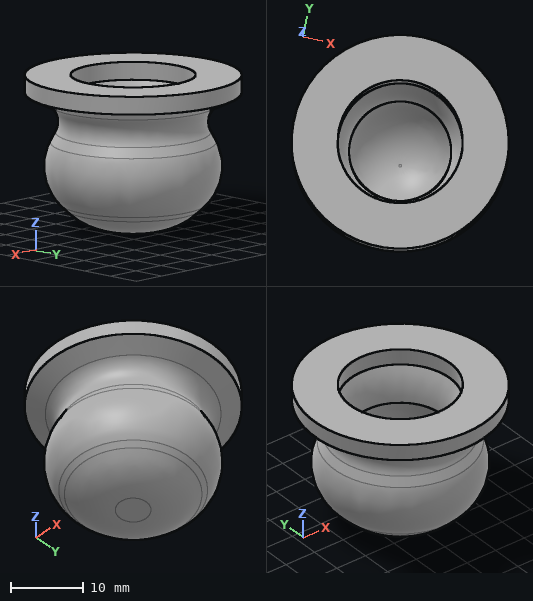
import cadquery as cq
import math

height = 21.75
flange_radius = 15.0
rim_height = 2.52
cone_angle = math.radians(25.5)

bore_radius = 17.25 / 2
bore_depth = 2.52

neck_center = (13.45, 15.12)
neck_arc = 3.05
bulge_center = (4.98, 8.85)
bulge_arc = 7.35

base_flat_radius = 2.45
base_arc = 9.78
base_angle = math.radians(-44)

floor_radius = 0.18
floor_height = 3.0
bowl_arc = 7.62
throat_height = 13.92


def on_arc(center, radius, angle):
    """Point of an arc at an angle measured from the outward radial direction."""
    return (center[0] + radius * math.cos(angle), center[1] + radius * math.sin(angle))


def tangent_normal_angle():
    """Normal angle of the straight stretch tangent to both bulge and neck."""
    radial = neck_center[0] - bulge_center[0]
    vertical = neck_center[1] - bulge_center[1]
    distance = math.hypot(radial, vertical)
    return math.atan2(vertical, radial) - math.acos((bulge_arc + neck_arc) / distance)


shoulder_angle = tangent_normal_angle()


def revolve(profile):
    """Turn a closed radial profile about the Z axis."""
    return profile.close().revolve(360, (0, 0, 0), (0, 1, 0))


def make_outer_body():
    base_center = (base_flat_radius, base_arc)
    base_end = on_arc(base_center, base_arc, base_angle)
    base_mid = on_arc(base_center, base_arc, (base_angle - math.pi / 2) / 2)
    bulge_start = on_arc(bulge_center, bulge_arc, base_angle)
    bulge_end = on_arc(bulge_center, bulge_arc, shoulder_angle)
    neck_start = on_arc(neck_center, neck_arc, math.pi + shoulder_angle)
    neck_end = on_arc(neck_center, neck_arc, math.pi / 2 + cone_angle)
    return revolve(
        cq.Workplane("XZ")
        .lineTo(base_flat_radius, 0)
        .threePointArc(base_mid, base_end)
        .lineTo(*bulge_start)
        .threePointArc(on_arc(bulge_center, bulge_arc, 0), bulge_end)
        .lineTo(*neck_start)
        .threePointArc(on_arc(neck_center, neck_arc, math.pi), neck_end)
        .lineTo(flange_radius, height - rim_height)
        .lineTo(flange_radius, height)
        .lineTo(0, height)
    )


def make_cavity():
    bowl_center = (floor_radius, floor_height + bowl_arc)
    throat_rise = throat_height - bowl_center[1]
    throat_angle = math.asin(throat_rise / bowl_arc)
    throat = on_arc(bowl_center, bowl_arc, throat_angle)
    bowl_mid = on_arc(bowl_center, bowl_arc, (throat_angle - math.pi / 2) / 2)

    flare_width = bore_radius - throat[0]
    flare_height = height - bore_depth - throat_height
    flare_arc = (flare_width**2 + flare_height**2) / (2 * flare_width)
    flare_center = (throat[0] + flare_arc, throat_height)
    flare_turn = math.asin(flare_height / flare_arc)
    flare_mid = on_arc(flare_center, flare_arc, math.pi - flare_turn / 2)
    return revolve(
        cq.Workplane("XZ")
        .moveTo(0, floor_height)
        .lineTo(floor_radius, floor_height)
        .threePointArc(bowl_mid, throat)
        .threePointArc(flare_mid, (bore_radius, height - bore_depth))
        .lineTo(bore_radius, height)
        .lineTo(0, height)
    )


result = make_outer_body().cut(make_cavity())